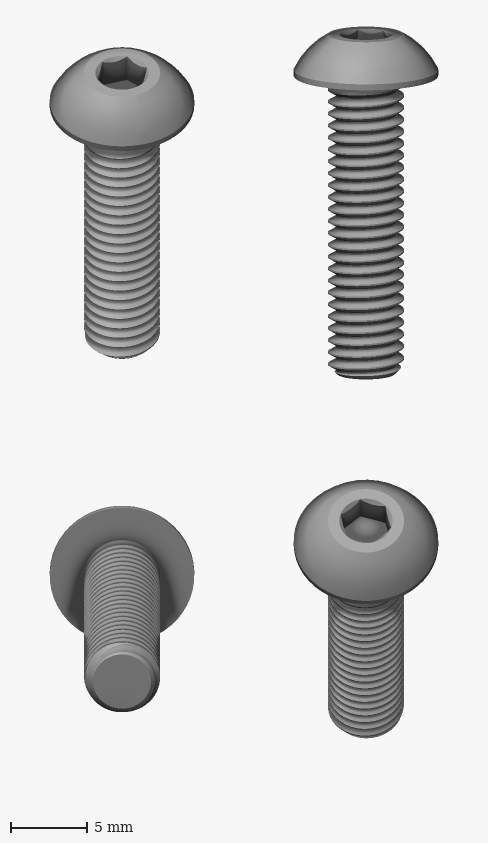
import cadquery as cq
import math


head_diameter = 9.5
head_height = 2.75
rim_height = 0.4
top_flat_diameter = 5.0

socket_across_flats = 3.0
socket_depth = 2.0
socket_mouth_diameter = 3.5
mouth_wall_angle = math.radians(45)

thread_diameter = 5.0
thread_length = 20.0
pitch = 0.8
thread_depth = 0.65 * pitch
flank_angle = math.radians(30)
crest_width = pitch / 8
crest_start_angle = 52.0
tip_diameter = 3.8
ridge_overlap = 0.05

head_radius = head_diameter / 2
top_flat_radius = top_flat_diameter / 2
thread_radius = thread_diameter / 2
root_radius = thread_radius - thread_depth
tip_radius = tip_diameter / 2


def make_head():
    """Rim and spherical dome, with the sphere centred on the screw axis."""
    dome_centre_z = (
        top_flat_radius**2 + head_height**2 - head_radius**2 - rim_height**2
    ) / (2 * (head_height - rim_height))
    dome_radius = math.hypot(head_radius, rim_height - dome_centre_z)
    middle_radius = (head_radius + top_flat_radius) / 2
    middle_z = dome_centre_z + math.sqrt(dome_radius**2 - middle_radius**2)
    return (
        cq.Workplane("XZ")
        .moveTo(0, 0)
        .lineTo(head_radius, 0)
        .lineTo(head_radius, rim_height)
        .threePointArc((middle_radius, middle_z), (top_flat_radius, head_height))
        .lineTo(0, head_height)
        .close()
        .revolve(360, (0, 0, 0), (0, 1, 0))
    )


def make_socket():
    """Hexagonal recess with corners on the Y axis and a conical mouth."""
    across_corners = socket_across_flats / math.cos(math.radians(30))
    hexagon = (
        cq.Workplane("XY", origin=(0, 0, head_height))
        .transformed(rotate=(0, 0, 90))
        .polygon(6, across_corners)
        .extrude(-socket_depth)
    )
    mouth_radius = socket_mouth_diameter / 2
    floor_radius = socket_across_flats / 2
    mouth_depth = (mouth_radius - floor_radius) * math.tan(mouth_wall_angle)
    mouth = cq.Workplane(
        cq.Solid.makeCone(
            floor_radius, mouth_radius, mouth_depth, cq.Vector(0, 0, head_height - mouth_depth)
        )
    )
    return hexagon, mouth


def make_ridge():
    """Right-hand thread ridge bounded by ruled helical faces, running past both ends of the shank."""
    ridge_length = thread_length + 2 * pitch
    flank_slope = math.tan(flank_angle)
    inner_radius = root_radius - ridge_overlap
    half_crest = crest_width / 2
    half_base = half_crest + (thread_radius - inner_radius) * flank_slope
    profile = [
        (inner_radius, -half_base),
        (thread_radius, -half_crest),
        (thread_radius, half_crest),
        (inner_radius, half_base),
    ]
    helices = [
        cq.Wire.makeHelix(pitch, ridge_length, radius).translate(cq.Vector(0, 0, z))
        for radius, z in profile
    ]
    next_helices = helices[1:] + helices[:1]
    faces = [cq.Face.makeRuledSurface(*pair) for pair in zip(helices, next_helices)]
    for end_z in (0, ridge_length):
        corners = [cq.Vector(radius, 0, z + end_z) for radius, z in profile]
        faces.append(cq.Face.makeFromWires(cq.Wire.makePolygon(corners, close=True)))
    ridge = cq.Workplane(cq.Solid.makeSolid(cq.Shell.makeShell(faces)))
    start_z = -thread_length - pitch
    return ridge.rotate((0, 0, 0), (0, 0, 1), crest_start_angle).translate((0, 0, start_z))


def make_trim_envelope():
    """Region that keeps the shank between the head and a 45 degree chamfer at the tip."""
    outer_radius = thread_radius + pitch
    chamfer_top_z = -thread_length + outer_radius - tip_radius
    return (
        cq.Workplane("XZ")
        .moveTo(0, 0)
        .lineTo(outer_radius, 0)
        .lineTo(outer_radius, chamfer_top_z)
        .lineTo(tip_radius, -thread_length)
        .lineTo(0, -thread_length)
        .close()
        .revolve(360, (0, 0, 0), (0, 1, 0))
    )


def make_shank():
    """Threaded shank with a chamfered tip."""
    core = cq.Workplane("XY").circle(root_radius).extrude(-thread_length)
    envelope = make_trim_envelope()
    return make_ridge().intersect(envelope).union(core.intersect(envelope))


def make_runout():
    """45 degree cone that closes the thread groove under the head."""
    return cq.Workplane(
        cq.Solid.makeCone(root_radius, thread_radius, thread_depth, cq.Vector(0, 0, -thread_depth))
    )


hexagon_socket, mouth_cone = make_socket()
head = make_head().cut(hexagon_socket).cut(mouth_cone)
result = head.union(make_runout()).union(make_shank())